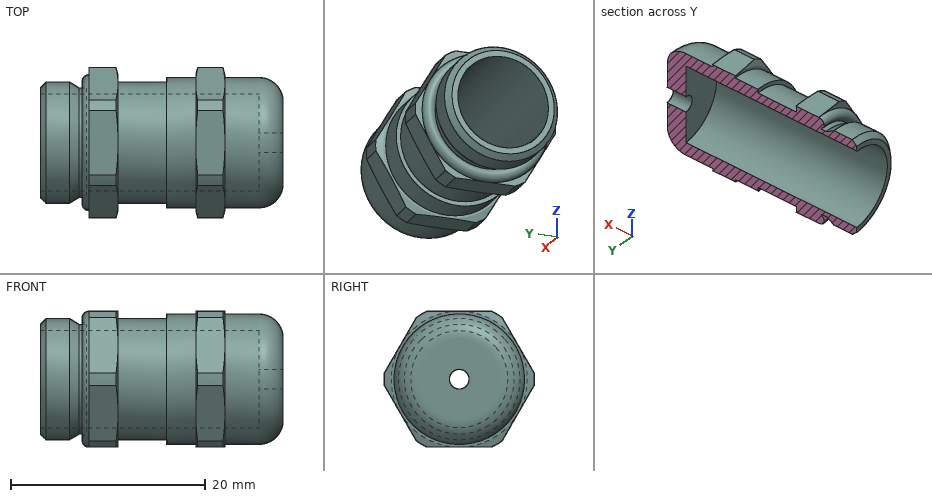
import cadquery as cq
import math


thread_end = 3.0
neck_start = 4.0
collar_start = 5.0
body_end = 13.0
cap_hex_start = 16.0
total_length = 25.0

thread_diameter = 12.5
neck_diameter = 11.3
body_diameter = thread_diameter
cap_diameter = 13.44
bore_diameter = 10.0
cable_hole_diameter = 2.0

hex_across_flats = 14.0
hex_corner_diameter = 15.49
hex_width = 3.0
hex_chamfer_length = 0.2

thread_chamfer = (thread_diameter - neck_diameter) / 2
ring_section_radius = 0.7
ring_center_radius = hex_across_flats / 2 - ring_section_radius
dome_radius = 2.5

bore_depth = total_length - dome_radius


def cylinder(diameter, start, end):
    """Round bar along X between two stations."""
    return cq.Workplane("YZ", origin=(start, 0, 0)).circle(diameter / 2).extrude(end - start)


def revolve_about_x(profile):
    """Turn a closed profile, drawn as (X, radius), once around the X axis."""
    return profile.close().revolve(360, (0, 0, 0), (1, 0, 0))


def make_thread():
    """Threaded end with a lead-in chamfer and a taper down to the neck."""
    thread_radius = thread_diameter / 2
    neck_radius = neck_diameter / 2
    profile = (
        cq.Workplane("XY")
        .moveTo(0, 0)
        .lineTo(0, thread_radius - thread_chamfer)
        .lineTo(thread_chamfer, thread_radius)
        .lineTo(thread_end, thread_radius)
        .lineTo(neck_start, neck_radius)
        .lineTo(collar_start, neck_radius)
        .lineTo(collar_start, 0)
    )
    return revolve_about_x(profile)


def make_sealing_ring():
    """Half-round ring seated against the flat face of the first hexagon."""
    profile = (
        cq.Workplane("XY")
        .moveTo(collar_start, ring_center_radius - ring_section_radius)
        .threePointArc(
            (collar_start - ring_section_radius, ring_center_radius),
            (collar_start, ring_center_radius + ring_section_radius),
        )
    )
    return revolve_about_x(profile)


def make_hexagon(start, chamfered_faces):
    """Hexagon with flats facing +Z and -Z, corners turned round and chosen faces chamfered."""
    circumscribed_diameter = hex_across_flats / math.cos(math.pi / 6)
    prism = (
        cq.Workplane("YZ", origin=(start, 0, 0))
        .polygon(6, circumscribed_diameter)
        .extrude(hex_width)
    )
    chamfer_depth = (hex_corner_diameter - hex_across_flats) / 2
    envelope = cylinder(hex_corner_diameter, start, start + hex_width)
    for face in chamfered_faces:
        rim = envelope.faces(face)
        envelope = rim.chamfer(hex_chamfer_length, chamfer_depth)
    return prism.intersect(envelope)


def make_cap():
    """Cap with a rounded rim at its far end."""
    return cylinder(cap_diameter, body_end, total_length).faces(">X").edges().fillet(dome_radius)


gland = (
    make_thread()
    .union(make_sealing_ring())
    .union(make_hexagon(collar_start, [">X"]))
    .union(cylinder(body_diameter, collar_start, body_end))
    .union(make_cap())
    .union(make_hexagon(cap_hex_start, ["<X", ">X"]))
)

bore = cylinder(bore_diameter, 0, bore_depth)
cable_hole = cylinder(cable_hole_diameter, 0, total_length)

result = gland.cut(bore).cut(cable_hole)